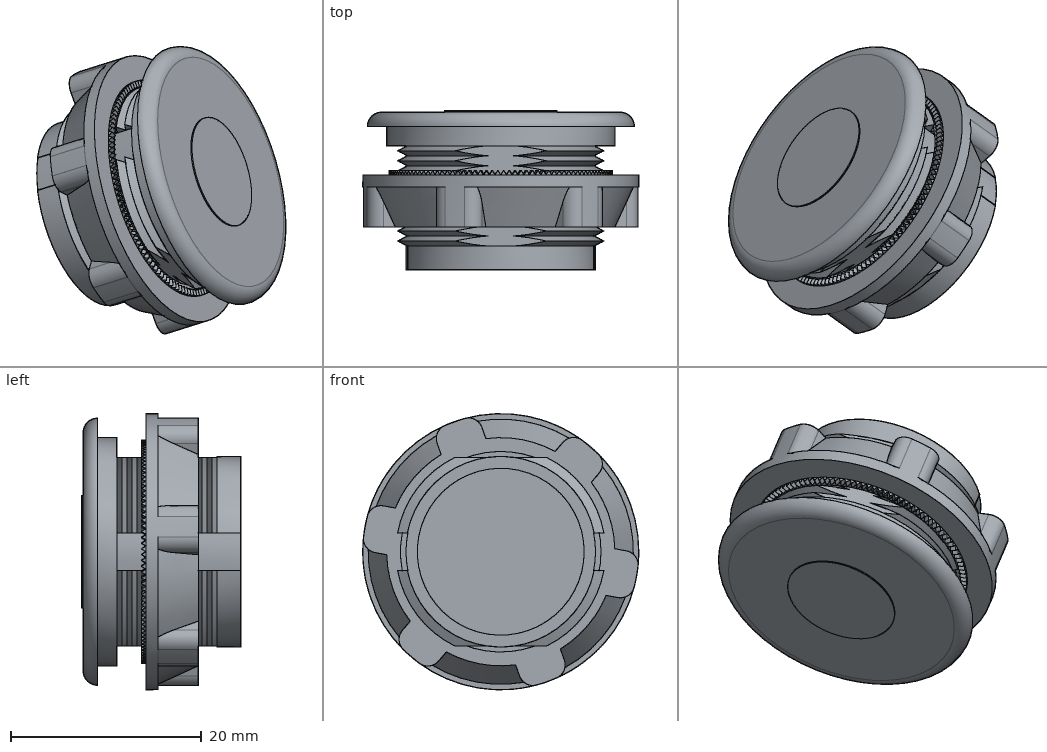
import cadquery as cq
import math


cap_radius = 14.03
cap_thickness = 1.55
boss_radius = 5.9
boss_height = 0.15
barrel_length = 15.0
barrel_radius = 10.0
bore_radius = 17.5 / 2
thread_radius = 22.0 / 2
thread_count = 10
collar_length = 2.5
flat_distance = 9.9
slot_width = 3.95
slot_floor_radius = 9.95

gasket_radius = 24.0 / 2
gasket_thickness = 2.0

nut_radius = 14.5
nut_front_from_end = 4.45
nut_height = 5.5
nut_flange_thickness = 1.3
nut_bore_radius = 10.52
cone_base_radius = 13.9
cone_front_radius = 11.97
lug_count = 6
lug_first_angle = 49.5
lug_width = 4.98
lug_corner_radius = 1.5
lug_root_distance = 11.3
tooth_count = 120
tooth_height = 0.45
tooth_inner_radius = 11.07
tooth_outer_radius = 11.75

barrel_end_y = -barrel_length
thread_start_y = -gasket_thickness
thread_end_y = barrel_end_y + collar_length
thread_pitch = (thread_start_y - thread_end_y) / thread_count
nut_front_y = barrel_end_y + nut_front_from_end
nut_back_y = nut_front_y + nut_height
nut_shoulder_y = nut_back_y - nut_flange_thickness


def revolve_about_y(profile):
    return profile.close().revolve(360, (0, 0, 0), (0, 1, 0))


def cylinder(radius, y_low, y_high):
    return cq.Workplane("XZ", origin=(0, y_high, 0)).circle(radius).extrude(y_high - y_low)


def thread_solid():
    """Solid core with V-shaped ridges, one ring per pitch."""
    profile = cq.Workplane("XY").moveTo(0, thread_start_y).lineTo(barrel_radius, thread_start_y)
    for ridge in range(thread_count):
        ridge_start_y = thread_start_y - ridge * thread_pitch
        profile = profile.lineTo(thread_radius, ridge_start_y - thread_pitch / 2)
        profile = profile.lineTo(barrel_radius, ridge_start_y - thread_pitch)
    return revolve_about_y(profile.lineTo(0, thread_end_y))


def make_cap():
    """Disc with a quarter-round outer edge and a low boss on its back."""
    round_center_radius = cap_radius - cap_thickness
    round_middle_y = cap_thickness * math.sqrt(0.5)
    round_middle_radius = round_center_radius + round_middle_y
    disc = revolve_about_y(
        cq.Workplane("XY")
        .lineTo(cap_radius, 0)
        .threePointArc((round_middle_radius, round_middle_y), (round_center_radius, cap_thickness))
        .lineTo(0, cap_thickness)
    )
    return disc.union(cylinder(boss_radius, 0, cap_thickness + boss_height))


def make_plug():
    thread_length = thread_start_y - thread_end_y
    flats = cq.Workplane("XY").box(2 * thread_radius, thread_length, 2 * flat_distance)
    flats = flats.translate((0, (thread_start_y + thread_end_y) / 2, 0))
    threaded_part = thread_solid().intersect(flats)

    neck = cylinder(thread_radius, thread_start_y, 0)
    collar = cylinder(barrel_radius, barrel_end_y, thread_end_y)
    plug = make_cap().union(neck).union(threaded_part).union(collar)

    slot_length = thread_start_y - barrel_end_y
    keyways = cq.Workplane("XY").box(2 * cap_radius, slot_length, slot_width)
    keyways = keyways.translate((0, (thread_start_y + barrel_end_y) / 2, 0))
    plug = plug.cut(keyways.cut(cylinder(slot_floor_radius, barrel_end_y, thread_start_y)))

    return plug.cut(cylinder(bore_radius, barrel_end_y, 0))


def make_gasket():
    return cylinder(gasket_radius, -gasket_thickness, 0).cut(cylinder(thread_radius, -gasket_thickness, 0))


def make_lug():
    """Grip lug pointing along +X: parallel sides, rounded corners, rim flush with the nut."""
    half_width = lug_width / 2
    corner_z = half_width - lug_corner_radius
    corner_x = math.sqrt((nut_radius - lug_corner_radius) ** 2 - corner_z**2)
    corner_angle = math.atan2(corner_z, corner_x)
    rim_x = nut_radius * math.cos(corner_angle)
    rim_z = nut_radius * math.sin(corner_angle)
    middle_angle = (corner_angle + math.pi / 2) / 2
    middle_x = corner_x + lug_corner_radius * math.cos(middle_angle)
    middle_z = corner_z + lug_corner_radius * math.sin(middle_angle)
    return (
        cq.Workplane("XZ", origin=(0, nut_shoulder_y, 0))
        .moveTo(lug_root_distance, -half_width)
        .lineTo(corner_x, -half_width)
        .threePointArc((middle_x, -middle_z), (rim_x, -rim_z))
        .threePointArc((nut_radius, 0), (rim_x, rim_z))
        .threePointArc((middle_x, middle_z), (corner_x, half_width))
        .lineTo(lug_root_distance, half_width)
        .close()
        .extrude(nut_shoulder_y - nut_front_y)
    )


def make_tooth():
    """Radial tooth along +X with a triangular section that widens outward with the pitch."""
    half_pitch_slope = math.tan(math.pi / tooth_count)

    def section(radius):
        half_width = radius * half_pitch_slope
        corners = [
            cq.Vector(radius, nut_back_y, -half_width),
            cq.Vector(radius, nut_back_y + tooth_height, 0),
            cq.Vector(radius, nut_back_y, half_width),
        ]
        return cq.Wire.makePolygon(corners, close=True)

    return cq.Solid.makeLoft([section(tooth_inner_radius), section(tooth_outer_radius)], True)


def make_nut():
    body = revolve_about_y(
        cq.Workplane("XY")
        .moveTo(0, nut_front_y)
        .lineTo(cone_front_radius, nut_front_y)
        .lineTo(cone_base_radius, nut_shoulder_y)
        .lineTo(0, nut_shoulder_y)
    )
    lug = make_lug()
    for index in range(lug_count):
        angle = lug_first_angle + index * 360 / lug_count
        body = body.union(lug.rotate((0, 0, 0), (0, 1, 0), -angle))
    body = body.union(cylinder(nut_radius, nut_shoulder_y, nut_back_y))

    bore = cylinder(nut_bore_radius, nut_front_y, nut_back_y)
    body = body.cut(bore).cut(thread_solid())

    tooth = make_tooth()
    teeth = []
    for index in range(tooth_count):
        angle = (index + 0.5) * 360 / tooth_count
        teeth.append(tooth.rotate(cq.Vector(0, 0, 0), cq.Vector(0, 1, 0), angle))
    return cq.Workplane(body.val().fuse(*teeth))


plug = make_plug().solids()
gasket = make_gasket().solids()
nut = make_nut().solids()

result = cq.Compound.makeCompound([plug.val(), gasket.val(), nut.val()])